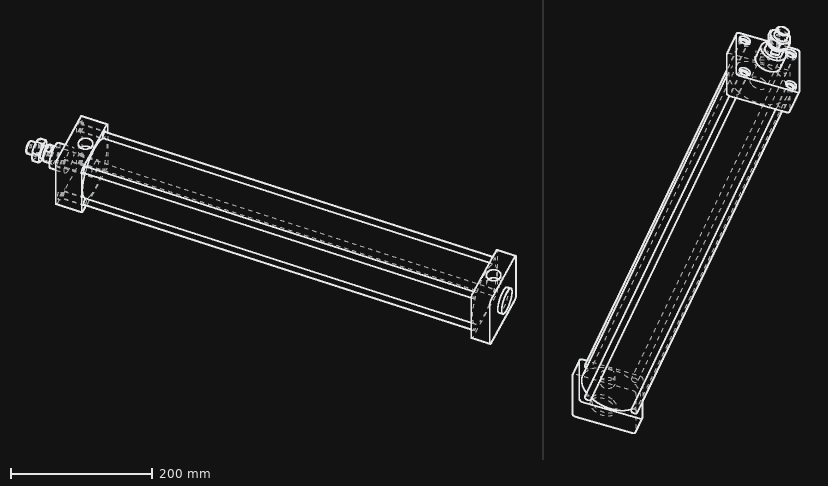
import cadquery as cq
import math

overall_length = 735.5
nut_start = 12.0
nut_thickness = 11.0
thread_length = 27.0
nose_start = 40.5
front_cap_start = 62.5
front_cap_length = 40.0
rear_boss_length = 6.0
rear_cap_length = 29.0
rear_cap_end = overall_length - rear_boss_length
rear_cap_start = rear_cap_end - rear_cap_length
barrel_start = front_cap_start + front_cap_length

cap_side = 95.5
cap_corner_radius = 5.0
boss_diameter = 38.0
port_diameter = 20.5
port_depth = 18.0
front_port_x = 88.0
rear_port_x = rear_cap_start + rear_cap_length / 2

barrel_diameter = 89.0
tie_rod_diameter = 9.5
tie_rod_hole_diameter = 11.0
tie_rod_spacing = 70.0
tie_rod_recess_diameter = 16.0
tie_rod_recess_depth = 4.5
tie_rod_start = front_cap_start + tie_rod_recess_depth

rod_diameter = 26.0
thread_diameter = 19.0
shoulder_chamfer = 1.5
thread_tip_chamfer = 1.5
flats_start = 29.5
flats_length = 6.5
across_flats = 23.0
nut_across_flats = 29.5
nut_chamfer_length = 1.1
nut_chamfer_depth = 2.0


def cylinder(diameter, start, end):
    """Cylinder on the X axis between two stations."""
    return cq.Workplane("YZ").workplane(offset=start).circle(diameter / 2).extrude(end - start)


def tie_rod_cylinders(diameter, start, end):
    """One cylinder at each tie rod position."""
    return (
        cq.Workplane("YZ")
        .workplane(offset=start)
        .rect(tie_rod_spacing, tie_rod_spacing, forConstruction=True)
        .vertices()
        .circle(diameter / 2)
        .extrude(end - start)
    )


def cap_block(start, length, port_x):
    """Square block with rounded long edges and a blind port in its top face."""
    block = cq.Workplane("YZ").workplane(offset=start).rect(cap_side, cap_side).extrude(length)
    block = block.edges("|X").fillet(cap_corner_radius)
    port = (
        cq.Workplane("XY")
        .workplane(offset=cap_side / 2 - port_depth)
        .center(port_x, 0)
        .circle(port_diameter / 2)
        .extrude(port_depth)
    )
    return block.cut(port)


def make_front_cap():
    """Cap with the rod nose, the rod bore, and recessed clearance holes for the tie rods."""
    cap = cap_block(front_cap_start, front_cap_length, front_port_x)
    cap = cap.union(cylinder(boss_diameter, nose_start, front_cap_start))
    cap = cap.cut(cylinder(rod_diameter, nose_start, barrel_start))
    cap = cap.cut(tie_rod_cylinders(tie_rod_recess_diameter, front_cap_start, tie_rod_start))
    return cap.cut(tie_rod_cylinders(tie_rod_hole_diameter, tie_rod_start, barrel_start))


def make_rear_cap():
    """Plain cap with a short round boss on its outer face."""
    cap = cap_block(rear_cap_start, rear_cap_length, rear_port_x)
    return cap.union(cylinder(boss_diameter, rear_cap_end, overall_length))


def make_piston_rod():
    """Rod with a threaded tip, a chamfered shoulder and two wrench flats."""
    rod = cylinder(rod_diameter, thread_length, barrel_start)
    rod = rod.faces("<X").chamfer(shoulder_chamfer)
    flat_depth = (rod_diameter - across_flats) / 2
    flat_x = flats_start + flats_length / 2
    flat_z = (across_flats + flat_depth) / 2
    flat_cutter = cq.Workplane("XY").box(flats_length, rod_diameter, flat_depth)
    for side in (1, -1):
        rod = rod.cut(flat_cutter.translate((flat_x, 0, side * flat_z)))
    thread = cylinder(thread_diameter, 0, thread_length)
    thread = thread.faces("<X").chamfer(thread_tip_chamfer)
    return rod.union(thread)


def make_nut():
    """Hexagon nut with corners up and down, turned to a cone at both ends."""
    across_corners = nut_across_flats / math.cos(math.pi / 6)
    nut = (
        cq.Workplane("YZ")
        .workplane(offset=nut_start)
        .transformed(rotate=(0, 0, 90))
        .polygon(6, across_corners)
        .extrude(nut_thickness)
    )
    radius = across_corners / 2
    nut_end = nut_start + nut_thickness
    envelope = (
        cq.Workplane("XY")
        .moveTo(nut_start, 0)
        .lineTo(nut_start, radius - nut_chamfer_depth)
        .lineTo(nut_start + nut_chamfer_length, radius)
        .lineTo(nut_end - nut_chamfer_length, radius)
        .lineTo(nut_end, radius - nut_chamfer_depth)
        .lineTo(nut_end, 0)
        .close()
        .revolve(360, (0, 0, 0), (1, 0, 0))
    )
    nut = nut.intersect(envelope)
    return nut.cut(cylinder(thread_diameter, nut_start, nut_end))


front_cap = make_front_cap()
rear_cap = make_rear_cap()
barrel = cylinder(barrel_diameter, barrel_start, rear_cap_start)
tie_rods = tie_rod_cylinders(tie_rod_diameter, tie_rod_start, rear_cap_start)
piston_rod = make_piston_rod()
nut = make_nut()

result = cq.Compound.makeCompound(
    [front_cap.val(), rear_cap.val(), barrel.val(), *tie_rods.vals(), piston_rod.val(), nut.val()]
)